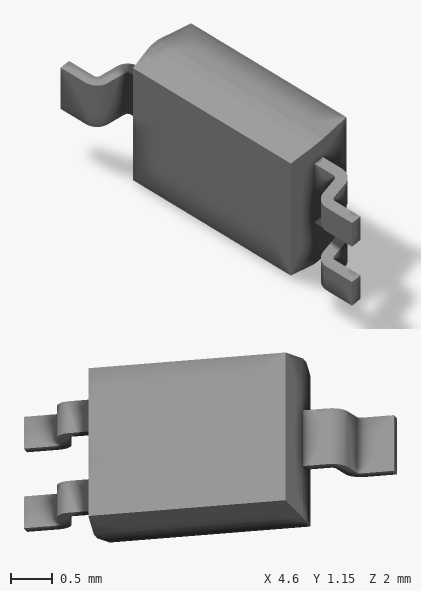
import cadquery as cq
import math

SPAN = 4.6
DEPTH = 1.15
STANDOFF = 0.1

BODY_LENGTH = 2.6
BODY_HEIGHT = 2.0
DRAFT_ANGLE = 8.0

LEAD_THICKNESS = 0.15
SHOULDER_Y = 0.625
FOOT_LENGTH = 0.395
INNER_RADIUS = 0.055
OUTER_RADIUS = INNER_RADIUS + LEAD_THICKNESS
LEG_ANGLE = 80.0
WIDE_LEAD_WIDTH = 0.7
NARROW_LEAD_WIDTH = 0.4
NARROW_LEAD_PITCH = 1.0

BAND_FRONT_Y = SHOULDER_Y - LEAD_THICKNESS
BAND_BACK_Y = SHOULDER_Y


def drafted_block(start_y, length):
    """Block of housing section growing from start_y; a negative length grows towards -Y."""
    return (
        cq.Workplane("XZ", origin=(0, start_y, 0))
        .rect(BODY_LENGTH, BODY_HEIGHT)
        .extrude(-length, taper=DRAFT_ANGLE)
    )


def make_housing():
    """Straight central band with a drafted block on its front and back."""
    band = (
        cq.Workplane("XZ", origin=(0, BAND_FRONT_Y, 0))
        .rect(BODY_LENGTH, BODY_HEIGHT)
        .extrude(-LEAD_THICKNESS)
    )
    back = drafted_block(BAND_BACK_Y, DEPTH - BAND_BACK_Y)
    front = drafted_block(BAND_FRONT_Y, STANDOFF - BAND_FRONT_Y)
    return band.union(back).union(front)


def on_circle(center, radius, degrees):
    """Point on a circle at an angle measured from +X."""
    angle = math.radians(degrees)
    return (center[0] + radius * math.cos(angle), center[1] + radius * math.sin(angle))


def make_left_lead(width, center_z):
    """Gull-wing lead on the -X side, ending flush against the housing wall."""
    tip_x = -SPAN / 2
    wall_x = -BODY_LENGTH / 2

    leg = math.radians(LEG_ANGLE)
    rise = SHOULDER_Y - 2 * OUTER_RADIUS
    run = (OUTER_RADIUS + INNER_RADIUS + rise * math.cos(leg)) / math.sin(leg)
    foot_bend = (tip_x + FOOT_LENGTH, OUTER_RADIUS)
    shoulder_bend = (foot_bend[0] + run, foot_bend[1] + rise)

    foot_start = -90
    foot_end = foot_start + LEG_ANGLE
    foot_middle = (foot_start + foot_end) / 2
    shoulder_start = 90
    shoulder_end = shoulder_start + LEG_ANGLE
    shoulder_middle = (shoulder_start + shoulder_end) / 2

    return (
        cq.Workplane("XY", origin=(0, 0, center_z))
        .moveTo(tip_x, 0)
        .lineTo(*on_circle(foot_bend, OUTER_RADIUS, foot_start))
        .threePointArc(
            on_circle(foot_bend, OUTER_RADIUS, foot_middle),
            on_circle(foot_bend, OUTER_RADIUS, foot_end),
        )
        .lineTo(*on_circle(shoulder_bend, INNER_RADIUS, shoulder_end))
        .threePointArc(
            on_circle(shoulder_bend, INNER_RADIUS, shoulder_middle),
            on_circle(shoulder_bend, INNER_RADIUS, shoulder_start),
        )
        .lineTo(wall_x, BAND_FRONT_Y)
        .lineTo(wall_x, BAND_BACK_Y)
        .lineTo(*on_circle(shoulder_bend, OUTER_RADIUS, shoulder_start))
        .threePointArc(
            on_circle(shoulder_bend, OUTER_RADIUS, shoulder_middle),
            on_circle(shoulder_bend, OUTER_RADIUS, shoulder_end),
        )
        .lineTo(*on_circle(foot_bend, INNER_RADIUS, foot_end))
        .threePointArc(
            on_circle(foot_bend, INNER_RADIUS, foot_middle),
            on_circle(foot_bend, INNER_RADIUS, foot_start),
        )
        .lineTo(tip_x, LEAD_THICKNESS)
        .close()
        .extrude(width / 2, both=True)
    )


def make_right_lead(width, center_z):
    """Mirror image of the left lead, on the +X side."""
    return make_left_lead(width, center_z).mirror("YZ")


housing = make_housing()
wide_lead = make_left_lead(WIDE_LEAD_WIDTH, 0)
narrow_leads = []
for side in (-1, 1):
    narrow_leads.append(make_right_lead(NARROW_LEAD_WIDTH, side * NARROW_LEAD_PITCH / 2))

result = cq.Compound.makeCompound(
    [housing.val(), wide_lead.val(), *[lead.val() for lead in narrow_leads]]
)